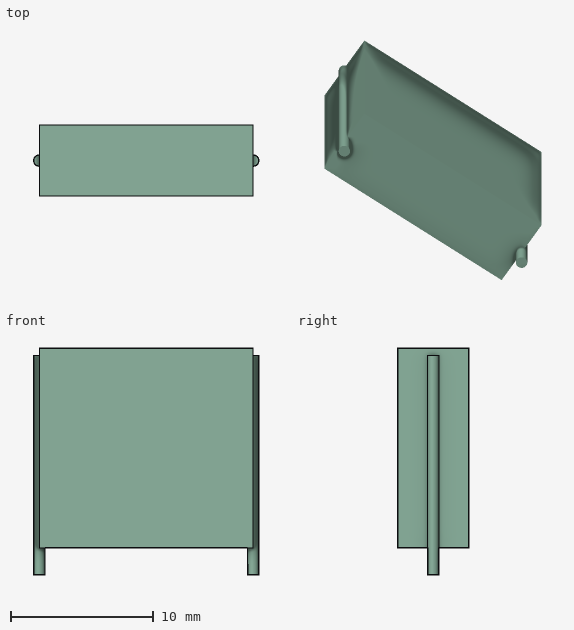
import cadquery as cq

body_length = 15.0
body_width = 5.0
body_height = 14.0
end_plate_thickness = 0.75

lead_diameter = 0.8
lead_spacing = body_length
lead_drop = 1.9
lead_top_gap = 0.5

core_length = body_length - 2 * end_plate_thickness
lead_length = lead_drop + body_height - lead_top_gap


def make_block(length, center_x):
    """Full-section block standing on Z = 0."""
    return (
        cq.Workplane("XY")
        .center(center_x, 0)
        .rect(length, body_width)
        .extrude(body_height)
    )


def make_lead(center_x):
    """Vertical round lead, half sunk into the end plate along the body."""
    return (
        cq.Workplane("XY", origin=(center_x, 0, -lead_drop))
        .circle(lead_diameter / 2)
        .extrude(lead_length)
    )


result = make_block(core_length, 0)
for side in (-1, 1):
    plate_x = side * (core_length + end_plate_thickness) / 2
    result = result.union(make_block(end_plate_thickness, plate_x), clean=False)
    result = result.union(make_lead(side * lead_spacing / 2), clean=False)